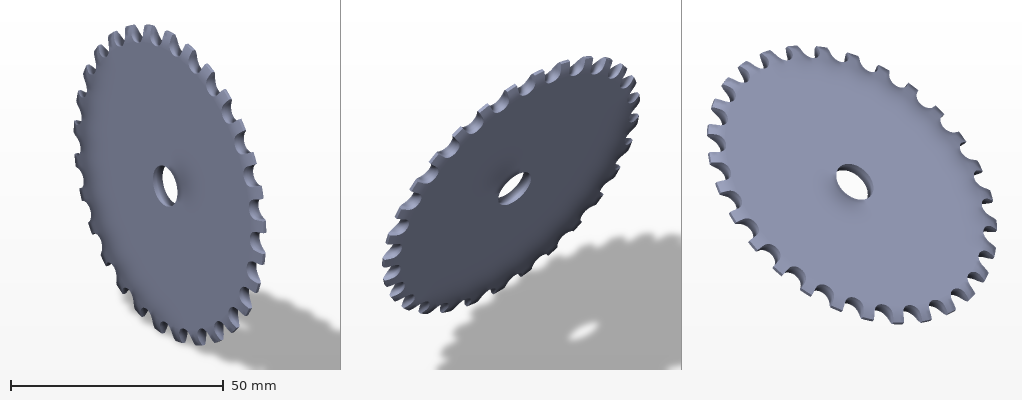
import cadquery as cq
import math

tooth_count = 29
tip_radius = 38.65
thickness = 2.8
bore_diameter = 10.0
chain_pitch = 8.0
roller_diameter = 5.0
tip_width = 0.8
relief_radius = chain_pitch

seat_radius = roller_diameter / 2
half_pitch_angle = math.pi / tooth_count
pitch_radius = chain_pitch / (2 * math.sin(half_pitch_angle))
half_thickness = thickness / 2
relief_depth = half_thickness - tip_width / 2
relief_height = math.sqrt(relief_radius**2 - (relief_radius - relief_depth) ** 2)
face_radius = tip_radius - relief_height
gap_top = tip_radius + seat_radius


def make_blank():
    """Revolve the disc with its rounded rim and flat tip."""
    middle_angle = math.acos(1 - relief_depth / relief_radius) / 2
    middle_radius = face_radius + relief_radius * math.sin(middle_angle)
    middle_offset = half_thickness - relief_radius * (1 - math.cos(middle_angle))
    return (
        cq.Workplane("XY")
        .moveTo(0, -half_thickness)
        .lineTo(face_radius, -half_thickness)
        .threePointArc((middle_radius, -middle_offset), (tip_radius, -tip_width / 2))
        .lineTo(tip_radius, tip_width / 2)
        .threePointArc((middle_radius, middle_offset), (face_radius, half_thickness))
        .lineTo(0, half_thickness)
        .close()
        .revolve(360, (0, 0, 0), (0, 1, 0))
    )


def make_gap_cutter():
    """Tooth gap centred on +Z: a round seat with flanks parallel to the neighbouring teeth."""
    seat_end_x = seat_radius * math.cos(half_pitch_angle)
    seat_end_z = pitch_radius - seat_radius * math.sin(half_pitch_angle)
    top_x = seat_end_x + (gap_top - seat_end_z) * math.tan(half_pitch_angle)
    return (
        cq.Workplane("XZ", origin=(0, thickness, 0))
        .moveTo(-top_x, gap_top)
        .lineTo(-seat_end_x, seat_end_z)
        .threePointArc((0, pitch_radius - seat_radius), (seat_end_x, seat_end_z))
        .lineTo(top_x, gap_top)
        .close()
        .extrude(2 * thickness)
    )


def cut_gaps(blank):
    """Cut one gap midway between each pair of neighbouring teeth."""
    gap = make_gap_cutter()
    for index in range(tooth_count):
        angle = math.degrees((2 * index + 1) * half_pitch_angle)
        blank = blank.cut(gap.rotate((0, 0, 0), (0, 1, 0), angle))
    return blank


bore = cq.Workplane("XZ", origin=(0, thickness, 0)).circle(bore_diameter / 2).extrude(2 * thickness)

result = cut_gaps(make_blank()).cut(bore)